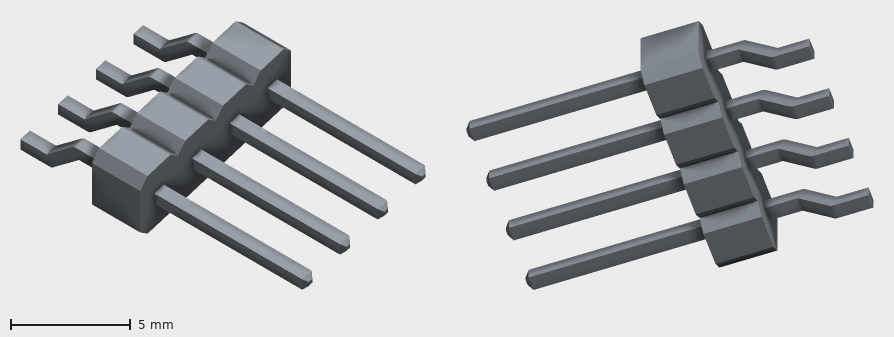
import cadquery as cq
import math

pin_count = 4
row_length = 10.16
pitch = row_length / pin_count

housing_start = 4.55
housing_length = 2.57
housing_height = 3.55
housing_chamfer = 0.5

pin_length = 15.19
pin_width = 0.64
pin_axis_height = housing_height / 2
tip_chamfer = 0.2
foot_length = 1.4
bend_angle = 45.0
bend_radius = 0.25

step_height = pin_axis_height - pin_width / 2
step_run = step_height / math.tan(math.radians(bend_angle))
mitre_offset = pin_width * math.tan(math.radians(bend_angle / 2))


def pin_center_y(index):
    return (index - (pin_count - 1) / 2) * pitch


def make_housing(center_y):
    block = (
        cq.Workplane("XY")
        .box(housing_length, pitch, housing_height, centered=(False, True, False))
        .edges("|X")
        .chamfer(housing_chamfer)
        .translate((housing_start, center_y, 0))
    )
    pin_hole = (
        cq.Workplane("XY")
        .box(housing_length, pin_width, pin_width, centered=(False, True, True))
        .translate((housing_start, center_y, pin_axis_height))
    )
    return block.cut(pin_hole)


def make_pin(center_y):
    upper_outer_x = foot_length + step_run
    side_outline = [
        (0, 0),
        (foot_length + mitre_offset, 0),
        (upper_outer_x + mitre_offset, step_height),
        (pin_length, step_height),
        (pin_length, step_height + pin_width),
        (upper_outer_x, step_height + pin_width),
        (foot_length, pin_width),
        (0, pin_width),
    ]
    pin = cq.Workplane("XZ").polyline(side_outline).close().extrude(pin_width / 2, both=True)
    pin = pin.faces(">X").chamfer(tip_chamfer)

    lower_corner = (foot_length + mitre_offset, 0, 0)
    upper_corner = (upper_outer_x, 0, step_height + pin_width)
    for corner in (lower_corner, upper_corner):
        nearest_edge = cq.selectors.NearestToPointSelector(corner)
        pin = pin.edges("|Y").edges(nearest_edge).fillet(bend_radius)
    return pin.translate((0, center_y, 0))


housings = [make_housing(pin_center_y(index)) for index in range(pin_count)]
pins = [make_pin(pin_center_y(index)) for index in range(pin_count)]

result = cq.Compound.makeCompound([body.val() for body in housings + pins])